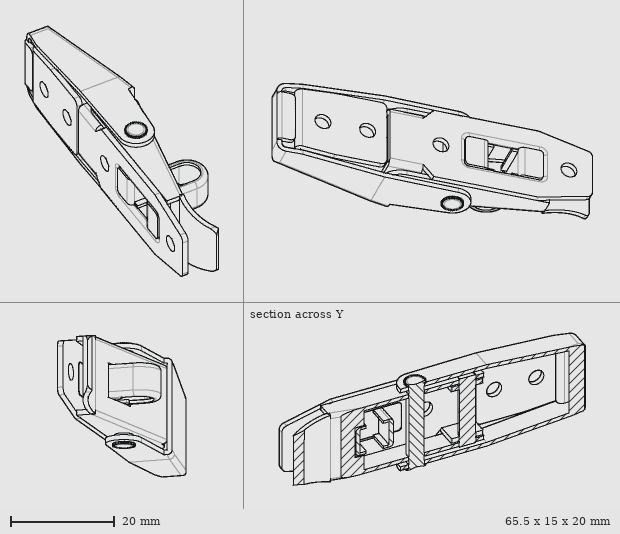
import cadquery as cq
import math


LEVER_SHEET = 1.0
PLATE_SHEET = 1.2
HANDLE_SHEET = 1.0
HOLE_DIAMETER = 3.2
HINGE_PIN = (25.95, 5.25)
HINGE_PIN_DIAMETER = 3.55
HINGE_PIN_HALF_LENGTH = 8.0
PIVOT_PIN = (36.95, 4.7)
PIVOT_PIN_DIAMETER = 3.55

LEVER_END_HALF_WIDTH = 7.85
LEVER_HALF_WIDTH = 9.55
LEVER_BEND_X = 21.9
LEVER_TOP_END_X = 25.5
LEVER_TOP_START_Y = 5.5
LEVER_TOP_SLOPE = 0.207
LEVER_EYE_RADIUS = 3.57
LEVER_SIDE_EDGE_Y = 9.25
LEVER_FOOT = (5.05, 0.5)
LEVER_FOOT_END_Y = 1.2
LEVER_END_RADIUS = 1.95
LEVER_SIDE_RADIUS = 1.0
LIP_END_X = 3.55
LIP_BOTTOM_Y = 0.45
LIP_HALF_WIDTH = 5.45
LIP_BEND_RADIUS = 0.8
LIP_CORNER_RADIUS = 1.0

STRIKE_END_X = 22.0
STRIKE_RISER_X = 3.7
STRIKE_BEND_X = 11.45
STRIKE_HALF_WIDTH = 7.2
STRIKE_CORNER_RADIUS = 1.2
STRIKE_HOLES_X = (9.0, 18.1)
TONGUE_END_X = 1.2
TONGUE_BOTTOM_Y = 1.6
TONGUE_HALF_WIDTH = 6.6
TONGUE_CORNER_RADIUS = 0.65

BASE_START_X = 22.6
BASE_END_X = 63.9
BASE_HALF_WIDTH = 7.8
BASE_TAPER_X = 52.85
BASE_END_HALF_WIDTH = 5.1
BASE_CORNER_RADIUS = 1.3
BASE_HOLES_X = (33.0, 59.1)
EAR_END_X = 29.4
EAR_OUTER_Z = 6.6
EAR_RELIEF_X = 31.55
STAPLE_X = 46.0
STAPLE_HALF_WIDTH = 3.3
WINDOW_LENGTH = 15.85
WINDOW_WIDTH = 2 * STAPLE_HALF_WIDTH
WINDOW_CORNER_RADIUS = 0.8
WINDOW_EDGE_RADIUS = 0.85

STAPLE_SHEET = 1.05
STAPLE_LIP_DEPTH = 0.3
STAPLE_LIP_WIDTH = 0.65
STAPLE_OUTER_RADIUS = 4.1
STAPLE_TOP_Y = 15.0
STAPLE_EDGE_RADIUS = 1.0
RIB_DEPTH = 1.25
RIB_TOP_Y = 7.9
RIB_CORNER_RADIUS = 0.3

HANDLE_HALF_WIDTH = 7.8
HANDLE_WALL_END_X = 55.55
HANDLE_NOSE_X = 26.6
HANDLE_HEEL_X = 26.45
HANDLE_HEEL_RADIUS = 4.05
HANDLE_NOSE_RADIUS = 0.9
HANDLE_EDGE_RADIUS = 0.8
HANDLE_SLOPE = math.radians(11)
TAIL_CENTER = (57.53, 16.275)
TAIL_OUTER_RADIUS = 12.5
TAIL_END_ANGLE = math.radians(39.5)
TAIL_TAPER_X = 55.3
TAIL_TIP_X = 65.5
TAIL_TIP_HALF_WIDTH = 5.3
TAIL_CORNER_RADIUS = 1.45
SLOT_CLEARANCE = 0.1

HEAD_HEIGHT = 0.425
KNURL_TEETH = 36
KNURL_RADIUS = 2.195
KNURL_ROOT_RADIUS = 1.9
DIMPLE_RADIUS = 1.6
DIMPLE_DEPTH = 0.4

FAR = 78.6


def mirrored_outline(half_points):
    """Closed outline in XZ from the points of its +Z half, listed from left to right."""
    mirrored = [(x, -z) for x, z in reversed(half_points)]
    return cq.Workplane("XZ").polyline(half_points + mirrored).close()


def side_profile(points):
    return cq.Workplane("XY").polyline(points).close()


def cross_cylinder(center, diameter, half_length):
    """Cylinder along Z, centred on Z = 0."""
    return cq.Workplane("XY").center(*center).circle(diameter / 2).extrude(half_length, both=True)


def holes_through_plate(x_positions):
    return (
        cq.Workplane("XZ").pushPoints([(x, 0) for x in x_positions])
        .circle(HOLE_DIAMETER / 2).extrude(-PLATE_SHEET)
    )


def lever_form(inset):
    """The lever's rounded outer form, or with an inset the hollow inside it."""
    taper = (LEVER_HALF_WIDTH - LEVER_END_HALF_WIDTH) / LEVER_BEND_X
    start_z = LEVER_END_HALF_WIDTH - inset
    wide_z = LEVER_HALF_WIDTH - inset
    start_y = LEVER_TOP_START_Y - inset * math.hypot(1, LEVER_TOP_SLOPE)
    overrun = 6.55

    def top_y(x):
        return start_y + LEVER_TOP_SLOPE * x

    channel = mirrored_outline(
        [(-overrun, start_z - taper * overrun), (LEVER_BEND_X, wide_z), (FAR, wide_z)]
    ).extrude(-FAR)
    under_top = side_profile(
        [(-overrun, 0), (FAR, 0), (FAR, top_y(FAR)), (-overrun, top_y(-overrun))]
    ).extrude(FAR, both=True)
    channel = channel.intersect(under_top)
    if inset < LEVER_SIDE_RADIUS:
        side_edges = channel.faces(">Y").edges("not(#X)").edges("not(|Z)")
        channel = side_edges.fillet(LEVER_SIDE_RADIUS - inset)

    round_end = (
        side_profile([(inset, 0), (FAR, 0), (FAR, top_y(FAR)), (inset, top_y(inset))])
        .extrude(FAR, both=True).faces("<X").edges(">Y").fillet(LEVER_END_RADIUS - inset)
    )
    corner_z = start_z + taper * inset
    round_corners = (
        mirrored_outline([(inset, corner_z), (LEVER_BEND_X, wide_z), (FAR, wide_z)])
        .extrude(-FAR).edges("|Y and <X").fillet(LEVER_END_RADIUS - inset)
    )
    return channel.intersect(round_end).intersect(round_corners)


def lever_side_trim():
    """Side profile of the lever: sloping top, rounded eye around the pivot pin, bent foot edge."""
    eye_x, eye_y = PIVOT_PIN
    top_end_y = LEVER_TOP_START_Y + LEVER_TOP_SLOPE * LEVER_TOP_END_X
    shoulder_x = LEVER_TOP_END_X + LEVER_TOP_SLOPE * (top_end_y - LEVER_SIDE_EDGE_Y)
    return (
        cq.Workplane("XY").moveTo(0, LEVER_FOOT_END_Y).lineTo(*LEVER_FOOT)
        .lineTo(eye_x, eye_y - LEVER_EYE_RADIUS)
        .threePointArc((eye_x + LEVER_EYE_RADIUS, eye_y), (eye_x, eye_y + LEVER_EYE_RADIUS))
        .lineTo(shoulder_x, LEVER_SIDE_EDGE_Y).lineTo(LEVER_TOP_END_X, top_end_y)
        .lineTo(0, LEVER_TOP_START_Y).close().extrude(FAR, both=True)
    )


def make_lever():
    shell = lever_form(0).cut(lever_form(LEVER_SHEET)).intersect(lever_side_trim())
    lip = (
        cq.Workplane("XY").box(LIP_END_X, LEVER_SHEET, 2 * LIP_HALF_WIDTH, centered=(False, False, True))
        .edges("<X and <Y").fillet(LIP_BEND_RADIUS)
        .edges("|Y and >X").fillet(LIP_CORNER_RADIUS)
        .translate((0, LIP_BOTTOM_Y, 0))
    )
    return shell.union(lip).cut(cross_cylinder(PIVOT_PIN, PIVOT_PIN_DIAMETER, FAR))


def make_strike_plate():
    tongue_top = TONGUE_BOTTOM_Y + PLATE_SHEET
    riser_end = STRIKE_RISER_X + PLATE_SHEET
    sheet = (
        side_profile([
            (TONGUE_END_X, TONGUE_BOTTOM_Y), (STRIKE_RISER_X, TONGUE_BOTTOM_Y), (STRIKE_RISER_X, 0),
            (STRIKE_END_X, 0), (STRIKE_END_X, PLATE_SHEET), (riser_end, PLATE_SHEET),
            (riser_end, tongue_top), (TONGUE_END_X, tongue_top),
        ])
        .extrude(FAR, both=True)
        .edges(cq.selectors.NearestToPointSelector((STRIKE_RISER_X, 0, 0))).fillet(PLATE_SHEET)
        .edges(cq.selectors.NearestToPointSelector((riser_end, tongue_top, 0))).fillet(PLATE_SHEET)
    )
    outline = (
        mirrored_outline([
            (TONGUE_END_X, TONGUE_HALF_WIDTH), (STRIKE_RISER_X, TONGUE_HALF_WIDTH),
            (STRIKE_BEND_X, STRIKE_HALF_WIDTH), (STRIKE_END_X, STRIKE_HALF_WIDTH),
        ])
        .extrude(-FAR)
        .edges("|Y and <X").fillet(TONGUE_CORNER_RADIUS)
        .edges("|Y and >X").fillet(STRIKE_CORNER_RADIUS)
    )
    return sheet.intersect(outline).cut(holes_through_plate(STRIKE_HOLES_X))


def window_block(height):
    """Round-cornered block that fills the base plate's window, rising from Y = 0."""
    return (
        cq.Workplane("XZ").center(STAPLE_X, 0).rect(WINDOW_LENGTH, WINDOW_WIDTH)
        .extrude(-height).edges("|Y").fillet(WINDOW_CORNER_RADIUS)
    )


def make_base_plate():
    ear_inner_z = EAR_OUTER_Z - PLATE_SHEET
    plate = (
        mirrored_outline([
            (BASE_START_X, ear_inner_z), (EAR_END_X, ear_inner_z), (EAR_RELIEF_X, BASE_HALF_WIDTH),
            (BASE_TAPER_X, BASE_HALF_WIDTH), (BASE_END_X, BASE_END_HALF_WIDTH),
        ])
        .extrude(-PLATE_SHEET).edges("|Y and >X").fillet(BASE_CORNER_RADIUS)
    )
    plate = plate.cut(window_block(PLATE_SHEET))
    reach = WINDOW_LENGTH / 2 + WINDOW_EDGE_RADIUS
    rim = plate.faces("<Y").edges(cq.selectors.BoxSelector(
        (STAPLE_X - reach, -0.65, -WINDOW_WIDTH), (STAPLE_X + reach, 0.65, WINDOW_WIDTH)
    ))
    plate = rim.fillet(WINDOW_EDGE_RADIUS)
    for side in (-1, 1):
        plate = plate.union(hinge_ear(side))
    return plate.cut(holes_through_plate(BASE_HOLES_X)).cut(
        cross_cylinder(HINGE_PIN, HINGE_PIN_DIAMETER, FAR)
    )


def hinge_ear(side):
    """Ear bent up from the base, rounded at its top and along its bend; side is +1 or -1 in Z."""
    top_radius = (EAR_END_X - BASE_START_X) / 2
    middle_x = BASE_START_X + top_radius
    hinge_y = HINGE_PIN[1]
    bend_radius = PLATE_SHEET * 0.99
    ear = (
        cq.Workplane("XY").workplane(offset=EAR_OUTER_Z - PLATE_SHEET)
        .moveTo(BASE_START_X, 0).lineTo(EAR_END_X, 0).lineTo(EAR_END_X, hinge_y)
        .threePointArc((middle_x, hinge_y + top_radius), (BASE_START_X, hinge_y)).close()
        .extrude(PLATE_SHEET).faces(">Z").edges("<Y").fillet(bend_radius)
    )
    return ear if side > 0 else ear.mirror("XY")


def staple_arch(radius, half_width):
    """Solid filling the staple's round-topped side outline out to a radius."""
    arch_y = STAPLE_TOP_Y - STAPLE_OUTER_RADIUS
    return (
        cq.Workplane("XY").moveTo(STAPLE_X - radius, 0).lineTo(STAPLE_X - radius, arch_y)
        .threePointArc((STAPLE_X, arch_y + radius), (STAPLE_X + radius, arch_y))
        .lineTo(STAPLE_X + radius, 0).close().extrude(half_width, both=True)
    )


def make_staple():
    inner_radius = STAPLE_OUTER_RADIUS - STAPLE_SHEET

    arch = staple_arch(STAPLE_OUTER_RADIUS, STAPLE_HALF_WIDTH)
    arch = arch.edges("not(<Y or |Z)").fillet(STAPLE_EDGE_RADIUS)
    strip = arch.union(window_block(STAPLE_SHEET)).cut(staple_arch(inner_radius, STAPLE_HALF_WIDTH))
    bend_edges = strip.faces("<Y").edges(cq.selectors.BoxSelector(
        (STAPLE_X - STAPLE_OUTER_RADIUS, -0.65, -0.65), (STAPLE_X + STAPLE_OUTER_RADIUS, 0.65, 0.65)
    ))
    strip = bend_edges.fillet(STAPLE_SHEET)

    lip_inner_z = STAPLE_HALF_WIDTH - STAPLE_LIP_WIDTH
    lips = (
        staple_arch(inner_radius, STAPLE_HALF_WIDTH)
        .cut(staple_arch(inner_radius - STAPLE_LIP_DEPTH, STAPLE_HALF_WIDTH))
        .cut(staple_arch(inner_radius, lip_inner_z))
    )
    below_lips = cq.Workplane("XY").box(FAR, 2 * STAPLE_SHEET, FAR).translate((STAPLE_X, 0, 0))
    staple = strip.union(lips.cut(below_lips))
    for x_side in (-1, 1):
        for z_side in (-1, 1):
            staple = staple.union(staple_rib(x_side, z_side, inner_radius))
    return staple


def staple_rib(x_side, z_side, inner_radius):
    """Short rib on the inner face of a leg, at one edge of the leg."""
    height = RIB_TOP_Y - STAPLE_SHEET
    rib = cq.Workplane("XY").box(RIB_DEPTH, height, STAPLE_LIP_WIDTH)
    free_edge = ">X" if x_side < 0 else "<X"
    rib = rib.faces(free_edge).edges(">Y").fillet(RIB_CORNER_RADIUS)
    return rib.translate((
        STAPLE_X + x_side * (inner_radius - RIB_DEPTH / 2),
        STAPLE_SHEET + height / 2,
        z_side * (STAPLE_HALF_WIDTH - STAPLE_LIP_WIDTH / 2),
    ))


def tail_point(radius, angle):
    """Point on an arc around the tail's centre; the angle is from straight down, positive to the right."""
    return (
        TAIL_CENTER[0] + radius * math.sin(angle),
        TAIL_CENTER[1] - radius * math.cos(angle),
    )


def make_handle():
    tail_inner_radius = TAIL_OUTER_RADIUS - HANDLE_SHEET
    top_join = tail_point(tail_inner_radius, -HANDLE_SLOPE)
    bottom_join = tail_point(TAIL_OUTER_RADIUS, -HANDLE_SLOPE)

    def slope_y(point, x):
        return point[1] - math.tan(HANDLE_SLOPE) * (x - point[0])

    heel_y = PLATE_SHEET + HANDLE_HEEL_RADIUS
    nose_bottom_y = heel_y + HANDLE_HEEL_RADIUS
    block = (
        cq.Workplane("XY").workplane(offset=-HANDLE_HALF_WIDTH)
        .moveTo(HANDLE_HEEL_X, PLATE_SHEET)
        .threePointArc((HANDLE_HEEL_X - HANDLE_HEEL_RADIUS, heel_y), (HANDLE_HEEL_X, nose_bottom_y))
        .lineTo(HANDLE_NOSE_X, nose_bottom_y)
        .lineTo(HANDLE_NOSE_X, slope_y(top_join, HANDLE_NOSE_X))
        .lineTo(HANDLE_WALL_END_X, slope_y(top_join, HANDLE_WALL_END_X))
        .lineTo(HANDLE_WALL_END_X, PLATE_SHEET).close().extrude(2 * HANDLE_HALF_WIDTH)
        .edges("|Z and >Y").fillet(HANDLE_NOSE_RADIUS)
    )
    top_edges = cq.selectors.BoxSelector((39.3, 5.25, -FAR), (43.2, 9.2, FAR))
    block = block.edges(top_edges).fillet(HANDLE_EDGE_RADIUS)

    left_x = HANDLE_HEEL_X - 2 * HANDLE_HEEL_RADIUS
    hollow = side_profile([
        (left_x, 0), (FAR, 0), (FAR, slope_y(bottom_join, FAR)), (left_x, slope_y(bottom_join, left_x)),
    ]).extrude(HANDLE_HALF_WIDTH - HANDLE_SHEET, both=True)

    tail = (
        cq.Workplane("XY").moveTo(*top_join)
        .threePointArc(tail_point(tail_inner_radius, 0), tail_point(tail_inner_radius, TAIL_END_ANGLE))
        .lineTo(*tail_point(TAIL_OUTER_RADIUS, TAIL_END_ANGLE))
        .threePointArc(tail_point(TAIL_OUTER_RADIUS, 0), bottom_join).close()
        .extrude(HANDLE_HALF_WIDTH, both=True)
    )
    outline = (
        mirrored_outline([
            (0, HANDLE_HALF_WIDTH), (TAIL_TAPER_X, HANDLE_HALF_WIDTH), (TAIL_TIP_X, TAIL_TIP_HALF_WIDTH),
        ])
        .extrude(-FAR).edges("|Y and >X").fillet(TAIL_CORNER_RADIUS)
    )
    slot = cq.Workplane("XZ").center(STAPLE_X, 0).rect(
        2 * (STAPLE_OUTER_RADIUS + SLOT_CLEARANCE), 2 * (STAPLE_HALF_WIDTH + SLOT_CLEARANCE)
    ).extrude(-FAR)
    return (
        block.cut(hollow).union(tail.intersect(outline)).cut(slot)
        .cut(cross_cylinder(HINGE_PIN, HINGE_PIN_DIAMETER, FAR))
        .cut(cross_cylinder(PIVOT_PIN, PIVOT_PIN_DIAMETER, FAR))
    )


def knurled_head():
    """Head with a toothed rim, seated on Z = 0 and rising to HEAD_HEIGHT."""
    points = []
    for step in range(2 * KNURL_TEETH):
        angle = math.pi * step / KNURL_TEETH
        radius = KNURL_RADIUS if step % 2 == 0 else KNURL_ROOT_RADIUS
        points.append((radius * math.cos(angle), radius * math.sin(angle)))
    return cq.Workplane("XY").polyline(points).close().extrude(HEAD_HEIGHT)


def make_pivot_pin():
    """Pin through handle and lever, with a knurled and dimpled head at each end."""
    pin = cross_cylinder(PIVOT_PIN, PIVOT_PIN_DIAMETER, LEVER_HALF_WIDTH)
    head = knurled_head().translate((*PIVOT_PIN, LEVER_HALF_WIDTH))
    dimple = cq.Workplane("XY").add(cq.Solid.makeCone(
        0, DIMPLE_RADIUS, DIMPLE_DEPTH,
        pnt=cq.Vector(*PIVOT_PIN, LEVER_HALF_WIDTH + HEAD_HEIGHT - DIMPLE_DEPTH),
    ))
    pin = pin.union(head).union(head.mirror("XY"))
    return pin.cut(dimple).cut(dimple.mirror("XY"))


def make_hinge_pin():
    return cross_cylinder(HINGE_PIN, HINGE_PIN_DIAMETER, HINGE_PIN_HALF_LENGTH)


lever = make_lever()
strike_plate = make_strike_plate()
base_plate = make_base_plate()
staple = make_staple()
handle = make_handle()
pivot_pin = make_pivot_pin()
hinge_pin = make_hinge_pin()

result = cq.Compound.makeCompound([
    body.solids().val()
    for body in (lever, strike_plate, base_plate, staple, handle, pivot_pin, hinge_pin)
])